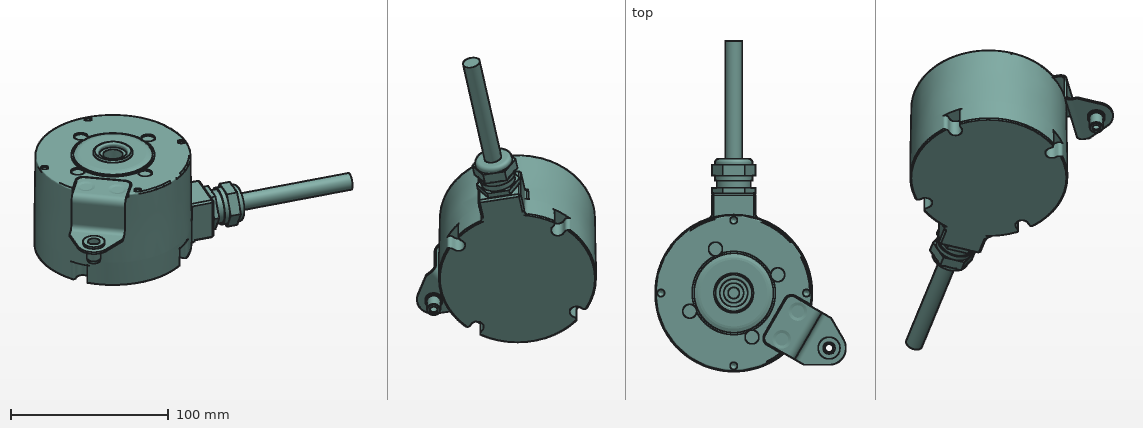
import cadquery as cq
import math

overall_length = 209.8
base_radius = 50.0
base_height = 17.2
cap_top_radius = 49.3
housing_height = 67.1
rim_fillet = 1.0
bottom_chamfer = 0.8

groove_outer_radius = 26.5
groove_depth = 0.5
collar_radius = 25.2
collar_top_radius = 22.7
collar_height = 1.3
plateau_radius = 21.2
plateau_lip = 0.2
hub_radius = 12.5
hub_top = 69.8
hub_chamfer = 1.0
hub_recess_radius = 8.8
hub_recess_fillet = 1.3
hub_recess_floor = 67.1
shaft_bore_radius = 6.3
shaft_bore_floor = 42.0
shaft_center_radius = 3.5
shaft_center_floor = 31.5

mount_count = 4
mount_circle_radius = 30.2
mount_start_angle = 22.5
mount_hole_radius = 4.5
mount_hole_depth = 1.3
edge_hole_count = 4
edge_hole_circle_radius = 46.1
edge_hole_radius = 2.3
edge_hole_depth = 1.3
edge_hole_cone_depth = 1.7

slot_count = 4
slot_start_angle = 45.0
slot_width = 8.4
slot_height = 13.5
slot_depth = 8.8
slot_mouth_fillet = 2.3

outlet_width = 27.7
outlet_height = 27.7
outlet_root = 37.8
outlet_end = 63.3
outlet_chamfer = 1.3
outlet_root_fillet = 3.1
window_height = 28.1
window_inner = 47.2
window_gap = 0.73
window_width = 37.8
gland_axis_height = 14.0
gland_hex_flats = 24.1
gland_neck_radius = 11.0
gland_collar_radius = 12.0
gland_dome_fillet = 2.5
hex_nut_end = 66.7
gland_neck_end = 71.3
gland_collar_end = 74.5
gland_hex_end = 81.4
gland_dome_end = 85.2
cable_radius = 5.5
cable_end = overall_length - base_radius

bracket_angle = -30.0
sheet = 1.5
bracket_inner_end = 30.6
bracket_half_width = 17.2
bracket_corner_radius = 4.2
bend_outer_radius = 5.0
riser_outer_face = 54.5
lower_plate_bottom = 41.5
tip_offset = 69.8
tip_radius = 10.7
taper_angle = 30.0
screw_offset = 41.1
screw_spacing = 20.3
screw_dish_floor_radius = 4.0
screw_dish_radius = 5.9
screw_dish_depth = 0.5
pin_flange_radius = 7.0
pin_flange_height = 1.5
pin_collar_radius = 5.5
pin_collar_height = 1.5
pin_radius = 4.5
pin_bottom = 30.5
pin_tip_height = 1.7
pin_tip_inset = 0.5
pin_hole_radius = 2.5
pin_counterbore_radius = 3.8
pin_counterbore_depth = 12.5
pocket_clearance = 0.8
pocket_depth = 2.0


def cylinder(radius, bottom, top, x=0.0, y=0.0):
    return cq.Workplane("XY", origin=(x, y, bottom)).circle(radius).extrude(top - bottom)


def cone(bottom_radius, top_radius, bottom, top, x=0.0, y=0.0):
    base_center = cq.Vector(x, y, bottom)
    return cq.Workplane(cq.Solid.makeCone(bottom_radius, top_radius, top - bottom, pnt=base_center))


def polar(radius, angle):
    return radius * math.cos(math.radians(angle)), radius * math.sin(math.radians(angle))


def ring_angles(count, start):
    return [start + index * 360.0 / count for index in range(count)]


def housing_shell():
    base = cylinder(base_radius, 0, base_height).faces("<Z").edges().chamfer(bottom_chamfer)
    cap = cone(base_radius, cap_top_radius, base_height, housing_height)
    cap = cap.faces(">Z").edges().fillet(rim_fillet)
    return base, cap


def collar_and_hub():
    """Raised collar with sloped edges, and the chamfered hub in its middle."""
    root = housing_height - groove_depth
    plateau = housing_height + collar_height
    collar = (
        cq.Workplane("XZ")
        .moveTo(0, root)
        .lineTo(collar_radius, root)
        .lineTo(collar_radius, housing_height + groove_depth)
        .lineTo(collar_top_radius, plateau)
        .lineTo(plateau_radius, plateau + plateau_lip)
        .lineTo(0, plateau + plateau_lip)
        .close()
        .revolve(360, (0, 0, 0), (0, 1, 0))
    )
    hub = cylinder(hub_radius, housing_height, hub_top).faces(">Z").edges().chamfer(hub_chamfer)
    return collar.union(hub)


def hub_bore():
    """Stepped blind bore: recess, shaft bore and centre hole."""
    recess = cylinder(hub_recess_radius, hub_recess_floor, hub_top)
    mouth_radius = hub_recess_radius + hub_recess_fillet
    quarter = hub_recess_fillet * math.sqrt(0.5)
    bell_mouth = (
        cq.Workplane("XZ")
        .moveTo(0, hub_top)
        .lineTo(mouth_radius, hub_top)
        .threePointArc(
            (mouth_radius - quarter, hub_top - hub_recess_fillet + quarter),
            (hub_recess_radius, hub_top - hub_recess_fillet),
        )
        .lineTo(0, hub_top - hub_recess_fillet)
        .close()
        .revolve(360, (0, 0, 0), (0, 1, 0))
    )
    bore = cylinder(shaft_bore_radius, shaft_bore_floor, hub_top)
    center = cylinder(shaft_center_radius, shaft_center_floor, hub_top)
    return recess.union(bell_mouth).union(bore).union(center)


def cap_recesses():
    cuts = cq.Workplane("XY")
    for angle in ring_angles(mount_count, mount_start_angle):
        x, y = polar(mount_circle_radius, angle)
        cuts = cuts.add(cylinder(mount_hole_radius, housing_height - mount_hole_depth, hub_top, x, y))
    for angle in ring_angles(edge_hole_count, 0):
        x, y = polar(edge_hole_circle_radius, angle)
        cone_top = housing_height - edge_hole_depth
        cuts = cuts.add(cylinder(edge_hole_radius, cone_top, hub_top, x, y))
        cuts = cuts.add(cone(0, edge_hole_radius, cone_top - edge_hole_cone_depth, cone_top, x, y))
    return cuts.combine()


def foot_slot(angle):
    """Round-ended slot with its mouth flared by a convex round on each side."""
    half = slot_width / 2
    end = base_radius - slot_depth
    flared_half = half + slot_mouth_fillet
    mouth = math.sqrt(base_radius**2 - flared_half**2)
    flare_start = mouth - slot_mouth_fillet
    quarter = slot_mouth_fillet * math.sqrt(0.5)
    side_round_x = flare_start + quarter
    side_round_y = flared_half - quarter
    return (
        cq.Workplane("XY")
        .moveTo(end + half, half)
        .threePointArc((end, 0), (end + half, -half))
        .lineTo(flare_start, -half)
        .threePointArc((side_round_x, -side_round_y), (mouth, -flared_half))
        .lineTo(base_radius, -flared_half)
        .lineTo(base_radius, flared_half)
        .lineTo(mouth, flared_half)
        .threePointArc((side_round_x, side_round_y), (flare_start, half))
        .close()
        .extrude(slot_height)
        .rotate((0, 0, 0), (0, 0, 1), angle)
    )


def cable_outlet():
    """Block with edges broken and concave rounds where it meets the round base."""
    half = outlet_width / 2
    block = (
        cq.Workplane("XY")
        .box(outlet_width, outlet_end - outlet_root, outlet_height, centered=(True, False, False))
        .translate((0, outlet_root, 0))
        .edges("|Y or >Y")
        .chamfer(outlet_chamfer)
    )
    round_center_x = half + outlet_root_fillet
    reach = base_radius + outlet_root_fillet
    round_center_y = math.sqrt(reach**2 - round_center_x**2)
    touch_x = round_center_x * base_radius / reach
    touch_y = round_center_y * base_radius / reach
    web = (
        cq.Workplane("XY")
        .moveTo(-touch_x, touch_y)
        .lineTo(touch_x, touch_y)
        .lineTo(round_center_x, round_center_y)
        .lineTo(-round_center_x, round_center_y)
        .close()
        .extrude(outlet_height - outlet_chamfer)
    )
    for side in (-1, 1):
        web = web.cut(cylinder(outlet_root_fillet, 0, outlet_height, side * round_center_x, round_center_y))
    outlet = block.union(web)
    keep_start = window_inner + window_gap
    upper_inside = (
        cq.Workplane("XY", origin=(0, 0, base_height))
        .rect(2 * base_radius, 2 * keep_start)
        .extrude(outlet_height)
    )
    return outlet.cut(upper_inside)


def outlet_window():
    """Opening in the cap around the upper half of the outlet block."""
    depth = base_radius - window_inner
    return (
        cq.Workplane("XY", origin=(0, window_inner, base_height))
        .box(window_width, depth, window_height - base_height, centered=(True, False, False))
    )


def gland_section(start, end, radius):
    return cq.Workplane("XZ", origin=(0, start, gland_axis_height)).circle(radius).extrude(start - end)


def gland_hexagon(start, end):
    sides = 6
    across_corners = gland_hex_flats / math.cos(math.pi / sides)
    plane = cq.Workplane("XZ", origin=(0, start, gland_axis_height))
    return plane.polygon(sides, across_corners).extrude(start - end)


def gland_and_cable():
    dome = gland_section(gland_hex_end, gland_dome_end, gland_collar_radius)
    dome = dome.faces(">Y").edges().fillet(gland_dome_fillet)
    return (
        gland_hexagon(outlet_end, hex_nut_end)
        .union(gland_section(hex_nut_end, gland_neck_end, gland_neck_radius))
        .union(gland_section(gland_neck_end, gland_collar_end, gland_collar_radius))
        .union(gland_hexagon(gland_collar_end, gland_hex_end))
        .union(dome)
        .union(gland_section(gland_dome_end, cable_end, cable_radius))
    )


def place_on_arm(body):
    return body.rotate((0, 0, 0), (0, 0, 1), bracket_angle)


def bracket_pocket():
    """Pocket in the cap that the bracket's upper plate lies in."""
    start = bracket_inner_end - pocket_clearance
    half = bracket_half_width + pocket_clearance
    pocket = (
        cq.Workplane("XY", origin=(start, 0, housing_height - pocket_depth))
        .box(base_radius, 2 * half, pocket_depth, centered=(False, True, False))
        .edges("|Z and <X")
        .fillet(bracket_corner_radius + pocket_clearance)
    )
    return place_on_arm(pocket)


def make_housing():
    base, cap = housing_shell()
    groove = cylinder(groove_outer_radius, housing_height - groove_depth, housing_height)
    cap = cap.cut(groove).cut(outlet_window())
    housing = base.union(cap).union(collar_and_hub()).union(cable_outlet()).union(gland_and_cable())
    housing = housing.cut(hub_bore()).cut(cap_recesses()).cut(bracket_pocket())
    for angle in ring_angles(slot_count, slot_start_angle):
        housing = housing.cut(foot_slot(angle))
    return housing


def bracket_outline():
    """Plan of the bracket: a strip that tapers to a round tip."""
    sine = math.sin(math.radians(taper_angle))
    cosine = math.cos(math.radians(taper_angle))
    tangent_u = tip_offset + tip_radius * sine
    tangent_v = tip_radius * cosine
    shoulder_u = tip_offset + (tip_radius - bracket_half_width * cosine) / sine
    return (
        cq.Workplane("XY")
        .moveTo(bracket_inner_end, -bracket_half_width)
        .lineTo(shoulder_u, -bracket_half_width)
        .lineTo(tangent_u, -tangent_v)
        .threePointArc((tip_offset + tip_radius, 0), (tangent_u, tangent_v))
        .lineTo(shoulder_u, bracket_half_width)
        .lineTo(bracket_inner_end, bracket_half_width)
        .close()
        .extrude(housing_height)
        .edges("|Z and <X")
        .fillet(bracket_corner_radius)
    )


def bent_sheet():
    """Z-shaped strip: upper plate, riser and lower plate joined by two bends."""
    riser_inner_face = riser_outer_face - sheet
    bend_inner_radius = bend_outer_radius - sheet
    far_end = tip_offset + tip_radius
    profile = (
        cq.Workplane("XZ", origin=(0, bracket_half_width, 0))
        .moveTo(bracket_inner_end, housing_height)
        .lineTo(riser_outer_face - bend_outer_radius, housing_height)
        .radiusArc((riser_outer_face, housing_height - bend_outer_radius), bend_outer_radius)
        .lineTo(riser_outer_face, lower_plate_bottom + bend_outer_radius)
        .radiusArc((riser_outer_face + bend_inner_radius, lower_plate_bottom + sheet), -bend_inner_radius)
        .lineTo(far_end, lower_plate_bottom + sheet)
        .lineTo(far_end, lower_plate_bottom)
        .lineTo(riser_inner_face + bend_outer_radius, lower_plate_bottom)
        .radiusArc((riser_inner_face, lower_plate_bottom + bend_outer_radius), bend_outer_radius)
        .lineTo(riser_inner_face, housing_height - bend_outer_radius)
        .radiusArc((riser_inner_face - bend_inner_radius, housing_height - sheet), -bend_inner_radius)
        .lineTo(bracket_inner_end, housing_height - sheet)
        .close()
    )
    return profile.extrude(2 * bracket_half_width)


def screw_dish(side):
    """Shallow conical dish in the upper plate, on one side of the arm's middle."""
    return cone(
        screw_dish_floor_radius,
        screw_dish_radius,
        housing_height - screw_dish_depth,
        housing_height,
        screw_offset,
        side * screw_spacing / 2,
    )


def pin():
    plate_top = lower_plate_bottom + sheet
    collar_bottom = lower_plate_bottom - pin_collar_height
    tip_top = pin_bottom + pin_tip_height
    tip = cone(pin_radius - pin_tip_inset, pin_radius, pin_bottom, tip_top, tip_offset)
    shank = cylinder(pin_radius, tip_top, collar_bottom, tip_offset)
    collar = cylinder(pin_collar_radius, collar_bottom, plate_top, tip_offset)
    flange = cylinder(pin_flange_radius, plate_top, plate_top + pin_flange_height, tip_offset)
    return tip.union(shank).union(collar).union(flange)


def pin_hole():
    flange_top = lower_plate_bottom + sheet + pin_flange_height
    bore = cylinder(pin_hole_radius, pin_bottom, flange_top, tip_offset)
    counterbore_floor = flange_top - pin_counterbore_depth
    counterbore = cylinder(pin_counterbore_radius, counterbore_floor, flange_top, tip_offset)
    return bore.union(counterbore)


def make_bracket():
    bracket = bent_sheet().intersect(bracket_outline())
    for side in (-1, 1):
        bracket = bracket.cut(screw_dish(side))
    return place_on_arm(bracket.union(pin()).cut(pin_hole()))


housing = make_housing()
bracket = make_bracket()
result = cq.Compound.makeCompound([housing.solids().val(), bracket.solids().val()])